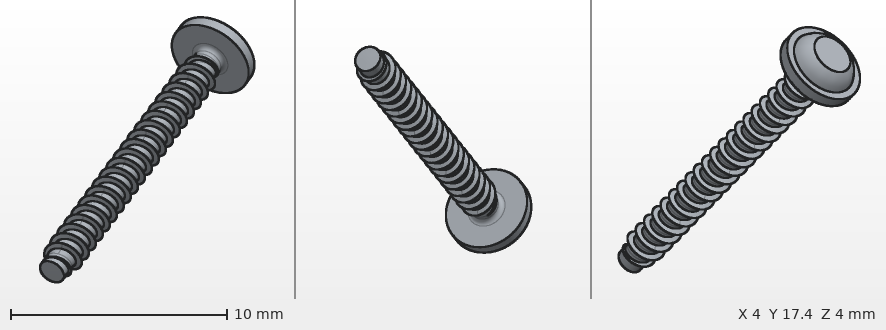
import cadquery as cq
import math

total_length = 17.35
flange_diameter = 4.0
flange_height = 0.59
dome_base_radius = 1.63
dome_middle_radius = 1.4
dome_middle_height = 0.42
dome_top_radius = 0.99
dome_height = 0.75

neck_radius = 0.68
neck_fillet = 0.25
neck_length = 0.47
neck_cone_length = 0.2
core_radius = 0.62
tip_bulge = 0.02
tip_depth = total_length - flange_height - dome_height

thread_top_depth = 0.25
thread_bottom_depth = 15.82
thread_turns = 22
taper_turns = 1.25
full_pieces = 13
crest_radius = 0.92
crest_width = 0.02
root_width = 0.19
root_overlap = 0.03
start_angle = 180.0

swell_radius = 0.66
swell_foot_sink = 0.009
swell_reach = 0.54

buried_width = 0.1
buried_height = 0.009

pitch = (thread_bottom_depth - thread_top_depth) / thread_turns
root_radius = core_radius - root_overlap
core_top = -neck_length - neck_cone_length

full_profile = [
    (root_radius, -swell_reach),
    (core_radius - swell_foot_sink, -swell_reach),
    (swell_radius, -root_width / 2),
    (crest_radius, -crest_width / 2),
    (crest_radius, crest_width / 2),
    (root_radius, root_width / 2),
]
buried_profile = [
    (root_radius, -buried_width / 2),
    (root_radius + buried_height, -buried_width / 2),
    (root_radius + buried_height, -buried_width / 4),
    (root_radius + buried_height, -crest_width / 2),
    (root_radius + buried_height, crest_width / 2),
    (root_radius, buried_width / 2),
]


def make_body():
    """Head, neck and core as one revolved half section."""
    section = (
        cq.Workplane("XZ")
        .moveTo(0, -tip_depth)
        .lineTo(core_radius, -tip_depth + tip_bulge)
        .lineTo(core_radius, core_top)
        .lineTo(neck_radius, -neck_length)
        .lineTo(neck_radius, -neck_fillet)
        .radiusArc((neck_radius + neck_fillet, 0), neck_fillet)
        .lineTo(flange_diameter / 2, 0)
        .lineTo(flange_diameter / 2, flange_height)
        .lineTo(dome_base_radius, flange_height)
        .threePointArc(
            (dome_middle_radius, flange_height + dome_middle_height),
            (dome_top_radius, flange_height + dome_height),
        )
        .lineTo(0, flange_height + dome_height)
        .close()
    )
    return section.revolve(360, (0, 0), (0, 1)).val()


def helix_rail(first_turn, turns, first_corner, last_corner):
    """One helical edge that leads a profile corner evenly to its new radius and offset."""
    first_radius, first_offset = first_corner
    last_radius, last_offset = last_corner
    rise = turns * pitch + last_offset - first_offset
    if first_radius == last_radius:
        rail = cq.Wire.makeHelix(rise / turns, rise, first_radius)
    else:
        cone_angle = math.degrees(math.atan2(last_radius - first_radius, rise))
        slope_length = math.hypot(last_radius - first_radius, rise)
        rail = cq.Wire.makeHelix(slope_length / turns, slope_length, first_radius, angle=cone_angle)
    height = -thread_bottom_depth + first_turn * pitch + first_offset
    rail = rail.rotate(cq.Vector(0, 0, 0), cq.Vector(0, 0, 1), start_angle + 360 * first_turn)
    return rail.translate(cq.Vector(0, 0, height)).Edges()[0]


def thread_rails(first_turn, turns, first_profile, last_profile):
    """The corners of the thread profile, in order around it, carried along the helix."""
    return [
        helix_rail(first_turn, turns, first_corner, last_corner)
        for first_corner, last_corner in zip(first_profile, last_profile)
    ]


def end_cap(rails, place):
    """Flat face closing the thread profile at the start (0) or the end (1) of its rails."""
    corners = [rail.positionAt(place) for rail in rails]
    return cq.Face.makeFromWires(cq.Wire.makePolygon(corners, close=True))


def make_thread():
    """Thread whose crest rises out of the core at the tip and sinks back into it below the head."""
    full_turns = thread_turns - 2 * taper_turns
    piece_turns = full_turns / full_pieces
    sections = [thread_rails(0, taper_turns, buried_profile, full_profile)]
    for piece in range(full_pieces):
        first_turn = taper_turns + piece * piece_turns
        sections.append(thread_rails(first_turn, piece_turns, full_profile, full_profile))
    sections.append(thread_rails(thread_turns - taper_turns, taper_turns, full_profile, buried_profile))
    faces = [end_cap(sections[0], 0), end_cap(sections[-1], 1)]
    for rails in sections:
        for rail, next_rail in zip(rails, rails[1:] + rails[:1]):
            faces.append(cq.Face.makeRuledSurface(rail, next_rail))
    return cq.Solid.makeSolid(cq.Shell.makeShell(faces))


screw = make_body().fuse(make_thread())

result = cq.Workplane("XY").newObject([screw.Solids()[0]]).rotate((0, 0, 0), (1, 0, 0), -90)